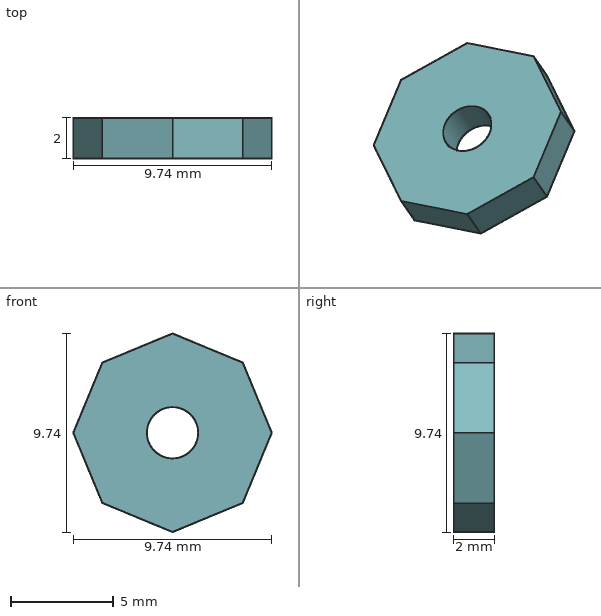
import cadquery as cq

SIDE_COUNT = 8
CORNER_DIAMETER = 9.74
THICKNESS = 2.0
HOLE_DIAMETER = 2.5

result = (
    cq.Workplane("XZ")
    .polygon(SIDE_COUNT, CORNER_DIAMETER)
    .circle(HOLE_DIAMETER / 2)
    .extrude(THICKNESS / 2, both=True)
)